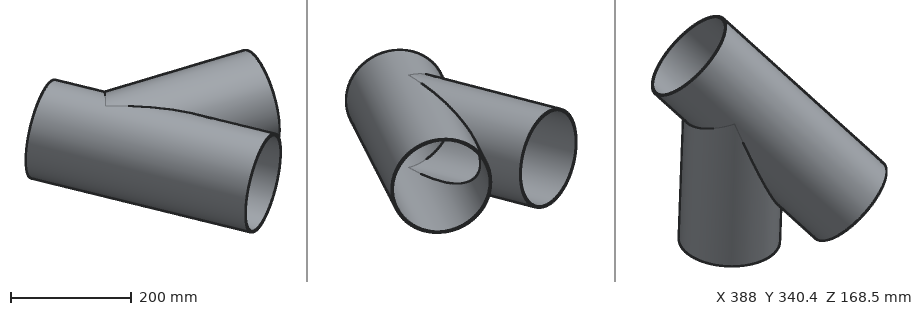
import cadquery as cq
import math

run_length = 388.0
outer_diameter = 168.5
inner_diameter = 163.0
branch_angle = 45.0
branch_length = 278.0
branch_start = 110.0

branch_direction = cq.Vector(
    math.cos(math.radians(branch_angle)),
    math.sin(math.radians(branch_angle)),
    0,
)


def run_cylinder(diameter):
    """Cylinder along X over the full length of the straight pipe."""
    return cq.Workplane("YZ").circle(diameter / 2).extrude(run_length)


def branch_cylinder(diameter):
    """Cylinder along the slanted branch axis, starting at the axis crossing."""
    plane = cq.Plane(origin=(branch_start, 0, 0), xDir=(0, 0, 1), normal=branch_direction)
    return cq.Workplane(plane).circle(diameter / 2).extrude(branch_length)


outer_body = run_cylinder(outer_diameter).union(branch_cylinder(outer_diameter))
result = outer_body.cut(run_cylinder(inner_diameter)).cut(branch_cylinder(inner_diameter))